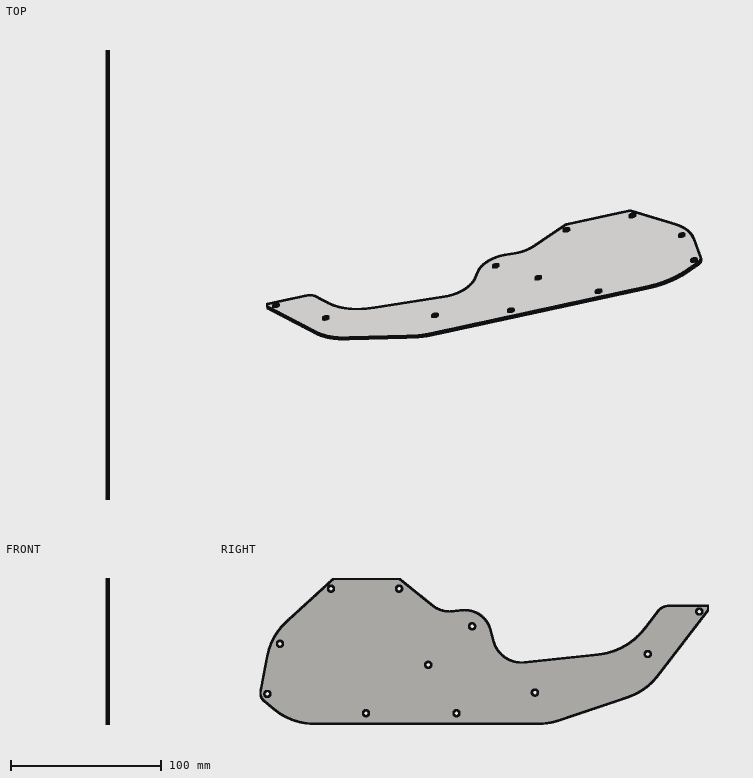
import cadquery as cq
import math

length = 297.0
height = 96.3
thickness = 1.6
hole_diameter = 4.0

sweep_radius = 41.5
neck_radius = 44.5
hump_radius = 17.8
hollow_radius = 19.0
tip_radius = 9.0
nose_radius = 6.5

tip_top = 78.5
top_edge_start = 204.7
top_edge_end = 248.5

corners = [
    (0.0, tip_top, 0.0),
    (0.0, 75.5, 0.0),
    (41.3, 21.7, sweep_radius),
    (105.8, 0.0, sweep_radius),
    (276.3, 0.0, sweep_radius),
    (297.7, 17.8, nose_radius),
    (290.0, 58.5, sweep_radius),
    (top_edge_end, height, 0.0),
    (top_edge_start, height, 0.0),
    (177.0, 74.0, hump_radius),
    (148.2, 77.2, hump_radius),
    (138.0, 39.2, hollow_radius),
    (53.8, 48.0, neck_radius),
    (30.5, tip_top, tip_radius),
]

hole_centers = [
    (6.0, 74.5),
    (40.0, 46.3),
    (115.0, 20.8),
    (156.5, 64.8),
    (167.0, 7.0),
    (185.7, 39.2),
    (205.0, 89.7),
    (227.0, 7.0),
    (250.0, 89.7),
    (284.0, 53.2),
    (292.3, 20.0),
]


def plate_point(distance, level):
    """Place a profile point on the YZ plane, with the tail tip on the +Y side."""
    return cq.Vector(0, length / 2 - distance, level - height / 2)


def round_corner(before, corner, after, radius):
    """Return the start, middle and end of the arc that rounds a corner."""
    to_before = (before - corner).normalized()
    to_after = (after - corner).normalized()
    half_angle = to_before.getAngle(to_after) / 2
    setback = radius / math.tan(half_angle)
    gap = radius / math.sin(half_angle) - radius
    bisector = (to_before + to_after).normalized()
    return corner + to_before * setback, corner + bisector * gap, corner + to_after * setback


def make_profile():
    """Join the straight edges and corner arcs into one closed wire."""
    points = [plate_point(distance, level) for distance, level, _ in corners]
    edges = []
    position = points[0]
    for i in range(1, len(points)):
        radius = corners[i][2]
        if radius == 0:
            edges.append(cq.Edge.makeLine(position, points[i]))
            position = points[i]
            continue
        following = points[(i + 1) % len(points)]
        start, middle, end = round_corner(points[i - 1], points[i], following, radius)
        edges.append(cq.Edge.makeLine(position, start))
        edges.append(cq.Edge.makeThreePointArc(start, middle, end))
        position = end
    edges.append(cq.Edge.makeLine(position, points[0]))
    return cq.Wire.assembleEdges(edges)


def make_hole(distance, level):
    """Cutting cylinder that passes through the whole thickness."""
    center = plate_point(distance, level) - cq.Vector(thickness / 2, 0, 0)
    return cq.Solid.makeCylinder(hole_diameter / 2, thickness, center, cq.Vector(1, 0, 0))


plate = cq.Solid.extrudeLinear(make_profile(), [], cq.Vector(thickness, 0, 0))
result = cq.Workplane(obj=plate.translate(cq.Vector(-thickness / 2, 0, 0)))
for hole_distance, hole_level in hole_centers:
    result = result.cut(cq.Workplane(obj=make_hole(hole_distance, hole_level)))